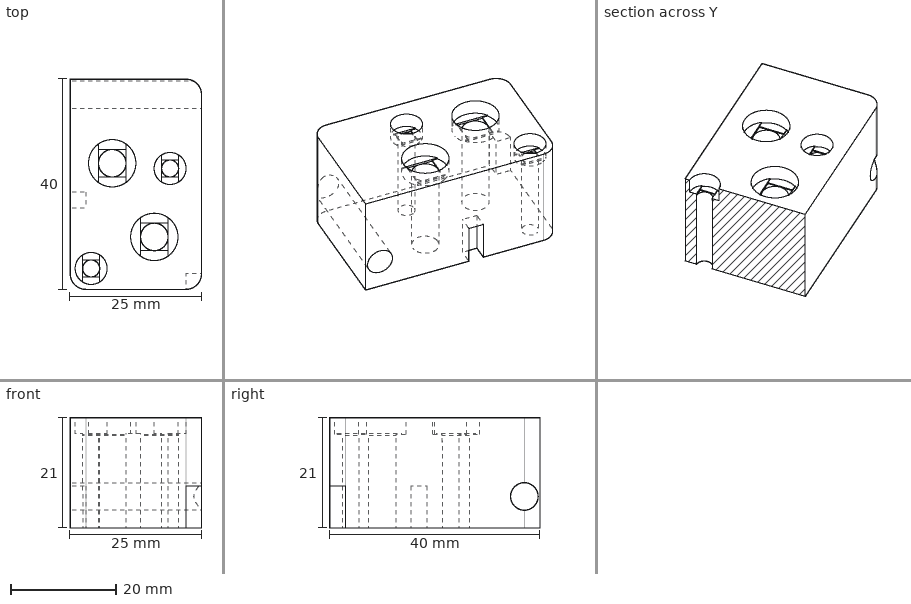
import cadquery as cq

width = 25.0
length = 40.0
height = 21.0
corner_radius = 3.0

large_centres = [(8.0, 24.0), (16.0, 10.0)]
small_centres = [(4.0, 4.0), (19.0, 23.0)]
large_bore, large_head = 5.2, 9.0
small_bore, small_head = 3.2, 6.1
head_depth = 3.0
step_depth = 0.2

cross_bore = 5.2
cross_y = length - 3.0
cross_z = 6.0

pocket_size = 3.0
pocket_height = 8.0
side_pocket_center_y = 17.0


def make_block():
    """Block with three rounded vertical edges; the back left edge stays sharp."""
    block = cq.Workplane("XY").box(width, length, height, centered=False)
    return block.edges("|Z and (<Y or >X)").fillet(corner_radius)


def stepped_hole(center, bore, head):
    """Through bore below a round head recess, joined by a slot step and a square step."""
    x, y = center
    floor = height - head_depth
    recess = cq.Workplane("XY", origin=(x, y, floor)).circle(head / 2).extrude(head_depth)
    shaft = cq.Workplane("XY", origin=(x, y, 0)).circle(bore / 2).extrude(height)
    square = cq.Workplane("XY", origin=(x, y, floor - 2 * step_depth)).rect(bore, bore).extrude(step_depth)
    disc = cq.Workplane("XY", origin=(x, y, floor - step_depth)).circle(head / 2).extrude(step_depth)
    strip = cq.Workplane("XY", origin=(x, y, floor - step_depth)).rect(bore, head).extrude(step_depth)
    return recess.union(shaft).union(square).union(disc.intersect(strip))


def bottom_pocket(x, y):
    """Square pocket rising from the bottom, given its minimum corner."""
    pocket = cq.Workplane("XY").box(pocket_size, pocket_size, pocket_height, centered=False)
    return pocket.translate((x, y, 0))


result = make_block()
for hole_center in large_centres:
    result = result.cut(stepped_hole(hole_center, large_bore, large_head))
for hole_center in small_centres:
    result = result.cut(stepped_hole(hole_center, small_bore, small_head))

cross_hole = cq.Workplane("YZ").center(cross_y, cross_z).circle(cross_bore / 2).extrude(width)
result = result.cut(cross_hole)

result = result.cut(bottom_pocket(0, side_pocket_center_y - pocket_size / 2))
result = result.cut(bottom_pocket(width - pocket_size, 0))